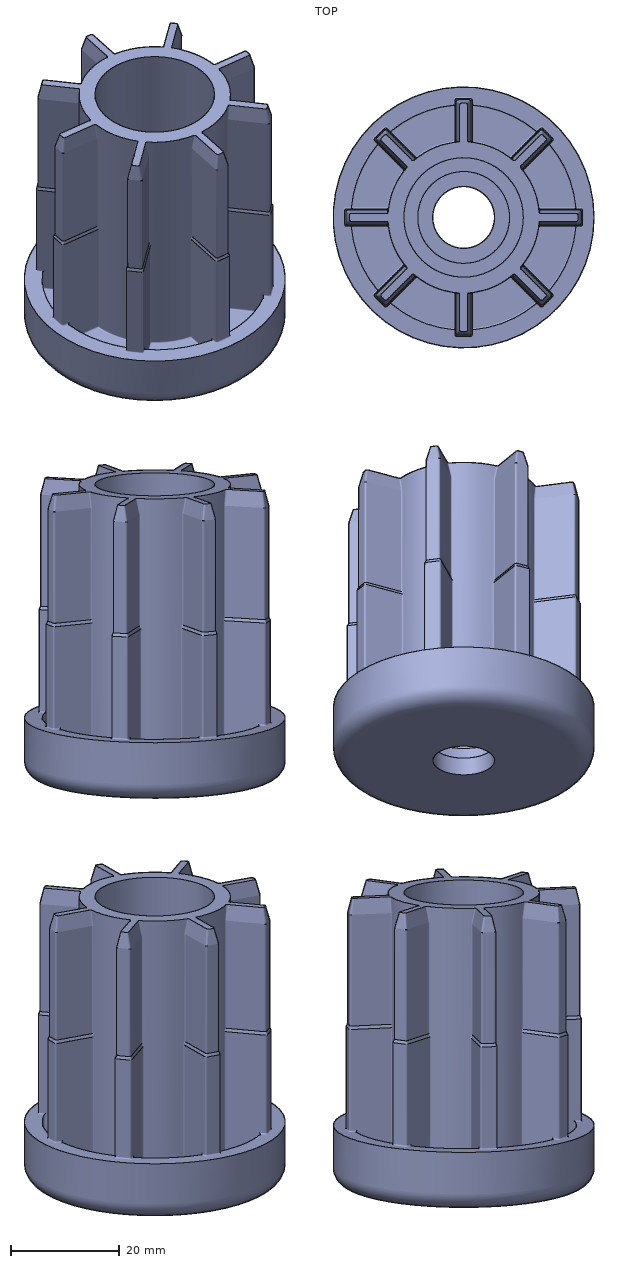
import cadquery as cq
import math

height = 55.0
flange_radius = 24.15
flange_height = 11.0
bottom_round = 3.0

recess_radius = 20.85
recess_floor = 7.0

tube_radius = 14.0
bore_radius = 11.05
bore_floor = 7.0
counterbore_radius = 8.5
counterbore_floor = 3.5
hole_radius = 5.7

rib_count = 8
rib_reach = 22.0
rib_width = 3.2
rib_inner = (bore_radius + tube_radius) / 2
rib_edge_radius = 0.35
rib_step = 0.22
rib_step_bottom = 30.4
rib_step_top = 31.0
rib_taper_height = 3.0
rib_taper_angle = 12.0

root_fillet = 0.25


def make_flange_and_tube():
    """Round flange, annular recess and tube with its stepped bore, as one revolved profile."""
    profile = (
        cq.Workplane("XZ")
        .moveTo(hole_radius, 0)
        .lineTo(flange_radius - bottom_round, 0)
        .radiusArc((flange_radius, bottom_round), -bottom_round)
        .lineTo(flange_radius, flange_height)
        .lineTo(recess_radius, flange_height)
        .lineTo(recess_radius, recess_floor)
        .lineTo(tube_radius, recess_floor)
        .lineTo(tube_radius, height)
        .lineTo(bore_radius, height)
        .lineTo(bore_radius, bore_floor)
        .lineTo(counterbore_radius, bore_floor)
        .lineTo(counterbore_radius, counterbore_floor)
        .lineTo(hole_radius, counterbore_floor)
        .close()
    )
    return profile.revolve(360, (0, 0, 0), (0, 1, 0))


def rib_outline(z, inset):
    """Rectangular rib outline at height z, drawn in from the sides and the outer end by inset."""
    length = rib_reach - inset - rib_inner
    width = rib_width - 2 * inset
    corner = cq.Vector(rib_inner, -width / 2, z)
    return cq.Wire.makePolygon(
        [
            corner,
            corner + cq.Vector(length, 0, 0),
            corner + cq.Vector(length, width, 0),
            corner + cq.Vector(0, width, 0),
        ],
        close=True,
    )


def rib_stretch(bottom, bottom_inset, top, top_inset):
    """Rib stretch whose inset changes evenly from bottom to top."""
    outlines = [rib_outline(bottom, bottom_inset), rib_outline(top, top_inset)]
    return cq.Workplane(cq.Solid.makeLoft(outlines, True))


def make_rib():
    """One rib: wide lower part, sloped step, narrower upper part and a tapered tip."""
    taper_bottom = height - rib_taper_height
    tip_inset = rib_step + rib_taper_height * math.tan(math.radians(rib_taper_angle))
    levels = [
        (recess_floor, 0),
        (rib_step_bottom, 0),
        (rib_step_top, rib_step),
        (taper_bottom, rib_step),
        (height, tip_inset),
    ]
    rib = rib_stretch(*levels[0], *levels[1])
    for lower, upper in zip(levels[1:], levels[2:]):
        rib = rib.union(rib_stretch(*lower, *upper))

    outer_end = cq.selectors.BoxSelector(
        (rib_reach - tip_inset - rib_edge_radius, -rib_width, recess_floor),
        (rib_reach + rib_edge_radius, rib_width, height),
    )
    return rib.edges(outer_end).edges("not #Z").fillet(rib_edge_radius)


def round_roots(body):
    """Fillet the inside corners where ribs, tube, recess and rim meet."""
    margin = root_fillet / 2
    upright_slope = 0.7

    def is_near(value, target):
        return abs(value - target) < margin

    def is_root(edge):
        point = edge.positionAt(0.5)
        radius = math.hypot(point.x, point.y)
        upright = abs(edge.tangentAt(0.5).z) > upright_slope
        on_floor = is_near(point.z, recess_floor) and radius > tube_radius - margin
        on_rim = is_near(point.z, flange_height) and recess_radius + margin < radius < rib_reach + margin
        beside_tube = upright and is_near(radius, tube_radius)
        beside_wall = upright and is_near(radius, recess_radius) and point.z < flange_height
        return on_floor or on_rim or beside_tube or beside_wall

    roots = [edge for edge in body.edges().vals() if is_root(edge)]
    return body.newObject(roots).fillet(root_fillet)


def make_part():
    """Flange and tube with the ring of ribs, roots filleted."""
    body = make_flange_and_tube()
    rib = make_rib()
    for index in range(rib_count):
        body = body.union(rib.rotate((0, 0, 0), (0, 0, 1), index * 360 / rib_count))
    return round_roots(body)


result = make_part()